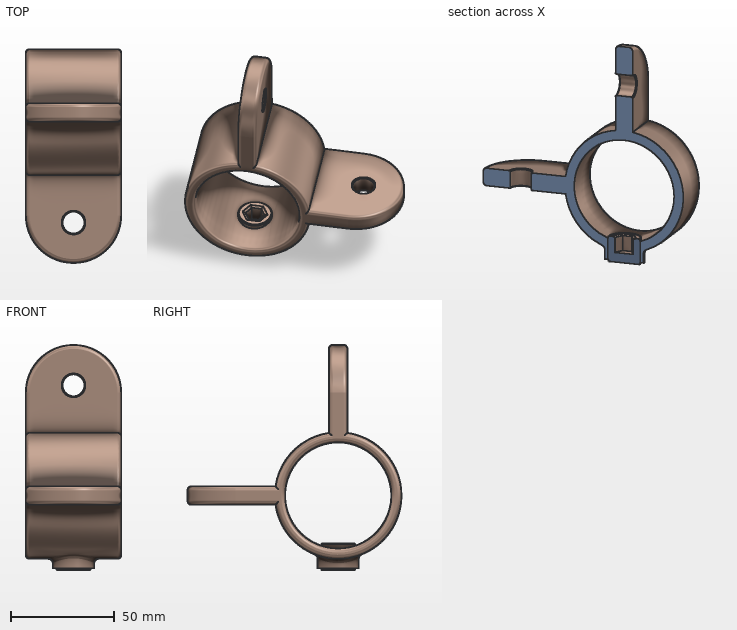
import cadquery as cq
import math

ring_width = 46.0
ring_outer_radius = 30.5
ring_inner_radius = 25.5
edge_fillet = 2.0

lug_thickness = 9.0
lug_reach = 72.5
lug_end_radius = ring_width / 2
lug_arc_centre = lug_reach - lug_end_radius
lug_hole_diameter = 10.5
lug_hole_centre = 53.0
lug_hole_chamfer = 0.5

boss_diameter = 20.0
boss_bottom = -35.0
boss_fillet = 2.0

screw_diameter = 16.5
screw_bottom = -36.0
screw_length = 13.0
screw_top = screw_bottom + screw_length
screw_chamfer = 0.5
socket_across_flats = 8.0
socket_depth = 8.0
socket_mouth_width = 1.3
socket_mouth_depth = 0.5


def cylinder_along_x(radius):
    return cq.Workplane("YZ").circle(radius).extrude(ring_width / 2, both=True)


def cylinder_along_z(diameter, bottom, top):
    return cq.Workplane("XY").workplane(offset=bottom).circle(diameter / 2).extrude(top - bottom)


def turn_to_front(body):
    """Turn something pointing up (+Z) about the ring axis so that it points towards -Y."""
    return body.rotate((0, 0, 0), (1, 0, 0), 90)


def make_lug():
    """Upright plate with a full round end, starting at the ring axis."""
    return (
        cq.Workplane("XZ")
        .moveTo(-lug_end_radius, 0)
        .lineTo(-lug_end_radius, lug_arc_centre)
        .threePointArc((0, lug_reach), (lug_end_radius, lug_arc_centre))
        .lineTo(lug_end_radius, 0)
        .close()
        .extrude(lug_thickness / 2, both=True)
    )


def make_lug_hole():
    """Cutter for a lug hole that is chamfered at both faces of the lug."""
    half = lug_thickness / 2
    radius = lug_hole_diameter / 2
    rim_radius = radius + lug_hole_chamfer
    return (
        cq.Workplane("XY")
        .polyline([
            (0, -half),
            (rim_radius, -half),
            (radius, -half + lug_hole_chamfer),
            (radius, half - lug_hole_chamfer),
            (rim_radius, half),
            (0, half),
        ])
        .close()
        .revolve(360, (0, 0, 0), (0, 1, 0))
        .translate((0, 0, lug_hole_centre))
    )


def make_bracket():
    lug = make_lug()
    bracket = cylinder_along_x(ring_outer_radius).union(lug).union(turn_to_front(lug))
    bore = cylinder_along_x(ring_inner_radius)
    bracket = bracket.cut(bore)

    bracket = bracket.faces("<X or >X").edges().fillet(edge_fillet)

    boss_root_region = cq.selectors.BoxSelector(
        (-boss_diameter, -boss_diameter, boss_bottom),
        (boss_diameter, boss_diameter, -ring_inner_radius),
        boundingbox=True,
    )
    boss = cylinder_along_z(boss_diameter, boss_bottom, 0).cut(bore)
    bracket = bracket.union(boss)

    bracket = bracket.edges(boss_root_region).edges("not %LINE").edges("not %CIRCLE").fillet(boss_fillet)

    lug_hole = make_lug_hole()
    bracket = bracket.cut(lug_hole).cut(turn_to_front(lug_hole))
    return bracket.cut(cylinder_along_z(screw_diameter, boss_bottom, 0))


def hexagon(across_flats, height):
    """Hexagon with two corners on the Y axis, drawn at the given height."""
    across_corners = across_flats / math.cos(math.pi / 6)
    return (
        cq.Workplane("XY")
        .workplane(offset=height)
        .transformed(rotate=(0, 0, 90))
        .polygon(6, across_corners)
    )


def make_screw():
    screw = cylinder_along_z(screw_diameter, screw_bottom, screw_top)
    screw = screw.faces("<Z or >Z").chamfer(screw_chamfer)

    socket = hexagon(socket_across_flats, screw_top).extrude(-socket_depth)
    mouth_across_flats = socket_across_flats + 2 * socket_mouth_width
    mouth_taper = math.degrees(math.atan2(socket_mouth_width, socket_mouth_depth))
    mouth = hexagon(mouth_across_flats, screw_top).extrude(-socket_mouth_depth, taper=mouth_taper)
    return screw.cut(socket).cut(mouth)


bracket = make_bracket()
screw = make_screw()
result = cq.Compound.makeCompound([bracket.solids().val(), screw.solids().val()])